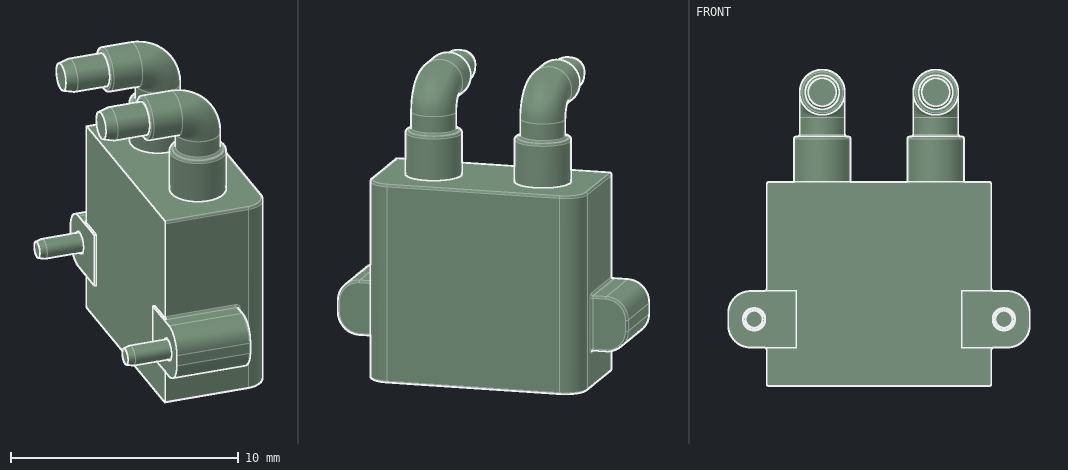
import cadquery as cq
import math

edge_radius = 0.1
reach = 2.0
tip_angle = 15.0

housing_width = 9.9
housing_height = 9.0
housing_front = 0.1
housing_back = 5.0
housing_corner_radius = 1.0
housing_depth = housing_back - housing_front
housing_mid_y = (housing_front + housing_back) / 2

ear_span = 13.3
ear_width = 3.0
ear_height = 2.5
ear_depth = 3.5
ear_base_z = 1.7
ear_corner_radius = 1.0
ear_mid_z = ear_base_z + ear_height / 2

pin_spacing = 11.0
pin_diameter = 0.9
pin_tip_length = 0.3
pin_hole_diameter = 1.0
pin_hole_depth = 2.0

port_spacing = 5.0
collar_diameter = 2.5
collar_height = 2.0
tube_diameter = 2.0
bend_radius = 1.1
nozzle_axis_z = 12.95
nozzle_diameter = 1.5
nozzle_tip_length = 0.5

collar_top_z = housing_height + collar_height
bend_start_z = nozzle_axis_z - bend_radius
bend_end_y = housing_mid_y - bend_radius


def make_block():
    """Housing block with its two rear upright corners rounded."""
    block = cq.Workplane("XY").box(housing_width, housing_depth, housing_height)
    block = block.translate((0, housing_mid_y, housing_height / 2))
    return block.edges("|Z and >Y").fillet(housing_corner_radius)


def make_ear_slab(inner_x, front_y, back_y):
    """Right-hand ear slab from inner_x to the outer end, with its outer corners rounded."""
    outer_x = ear_span / 2
    slab = cq.Workplane("XY").box(outer_x - inner_x, back_y - front_y, ear_height, centered=False)
    slab = slab.translate((inner_x, front_y, ear_base_z))
    return slab.edges("|Y and >X").fillet(ear_corner_radius)


def on_side(shape, side):
    """Keep a right-hand shape for side 1, or mirror it to the left for side -1."""
    return shape if side > 0 else shape.mirror("YZ")


def ear_root_edges(side):
    """Selector for the edges where an ear meets the side wall of the housing, at the top, bottom and back."""
    wall_x = side * housing_width / 2
    margin = edge_radius / 2
    low_corner = (wall_x - margin, housing_front + margin, ear_base_z - margin)
    high_corner = (wall_x + margin, ear_depth + margin, ear_base_z + ear_height + margin)
    return cq.selectors.BoxSelector(low_corner, high_corner)


def make_housing():
    """Housing block with filleted ears, ear plates lapping its front face, and blind pin holes."""
    housing = make_block().faces(">Z or <Z").edges("not <Y").fillet(edge_radius)
    ear = make_ear_slab(housing_width / 2, housing_front, ear_depth)
    ear = ear.faces(">Y").edges("not <X").fillet(edge_radius)
    plate = make_ear_slab(ear_span / 2 - ear_width, 0, housing_front)
    for side in (-1, 1):
        housing = housing.union(on_side(ear, side))
        housing = housing.edges(ear_root_edges(side)).fillet(edge_radius)
        housing = housing.union(on_side(plate, side))
        pin_x = side * pin_spacing / 2
        housing = housing.cut(make_rod(pin_x, ear_mid_z, pin_hole_diameter, pin_hole_depth, 0))
    return housing


def make_rod(x, z, diameter, back_y, front_y):
    """Round rod along Y, from back_y forward to front_y."""
    return cq.Workplane("XZ", origin=(x, back_y, z)).circle(diameter / 2).extrude(back_y - front_y)


def make_tapered_rod(x, z, diameter, back_y, tip_length):
    """Round rod ending in a tapered tip at the full forward reach."""
    tip_inset = tip_length * math.tan(math.radians(tip_angle))
    return make_rod(x, z, diameter, back_y, -reach).faces("<Y").chamfer(tip_length, tip_inset)


def make_riser(x):
    """Upright part of the elbow: collar with a rounded rim, then the tube rising from a small root fillet."""
    collar_radius = collar_diameter / 2
    tube_radius = tube_diameter / 2
    arc_offset = edge_radius * math.sqrt(0.5)
    rim_center = (collar_radius - edge_radius, collar_top_z - edge_radius)
    root_center = (tube_radius + edge_radius, collar_top_z + edge_radius)
    rim_mid = (rim_center[0] + arc_offset, rim_center[1] + arc_offset)
    root_mid = (root_center[0] - arc_offset, root_center[1] - arc_offset)
    return (
        cq.Workplane("XZ", origin=(x, housing_mid_y, 0))
        .moveTo(0, housing_height)
        .lineTo(collar_radius, housing_height)
        .lineTo(collar_radius, rim_center[1])
        .threePointArc(rim_mid, (rim_center[0], collar_top_z))
        .lineTo(root_center[0], collar_top_z)
        .threePointArc(root_mid, (tube_radius, root_center[1]))
        .lineTo(tube_radius, bend_start_z)
        .lineTo(0, bend_start_z)
        .close()
        .revolve(360, (0, 0), (0, 1))
    )


def make_elbow(x):
    """Port elbow: riser on the housing top, quarter bend from +Z to -Y, and a straight outlet."""
    bend = (
        cq.Workplane("XY", origin=(x, housing_mid_y, bend_start_z))
        .circle(tube_diameter / 2)
        .revolve(90, (0, -bend_radius), (1, -bend_radius))
    )
    outlet = make_rod(x, nozzle_axis_z, tube_diameter, bend_end_y, 0).faces("<Y").edges().fillet(edge_radius)
    return make_riser(x).union(bend).union(outlet)


housing = make_housing()
elbows = []
nozzles = []
pins = []
for side in (-1, 1):
    port_x = side * port_spacing / 2
    pin_x = side * pin_spacing / 2
    elbows.append(make_elbow(port_x))
    nozzles.append(make_tapered_rod(port_x, nozzle_axis_z, nozzle_diameter, 0, nozzle_tip_length))
    pins.append(make_tapered_rod(pin_x, ear_mid_z, pin_diameter, pin_hole_depth, pin_tip_length))

bodies = [housing, *elbows, *nozzles, *pins]
result = cq.Compound.makeCompound([body.solids().val() for body in bodies])